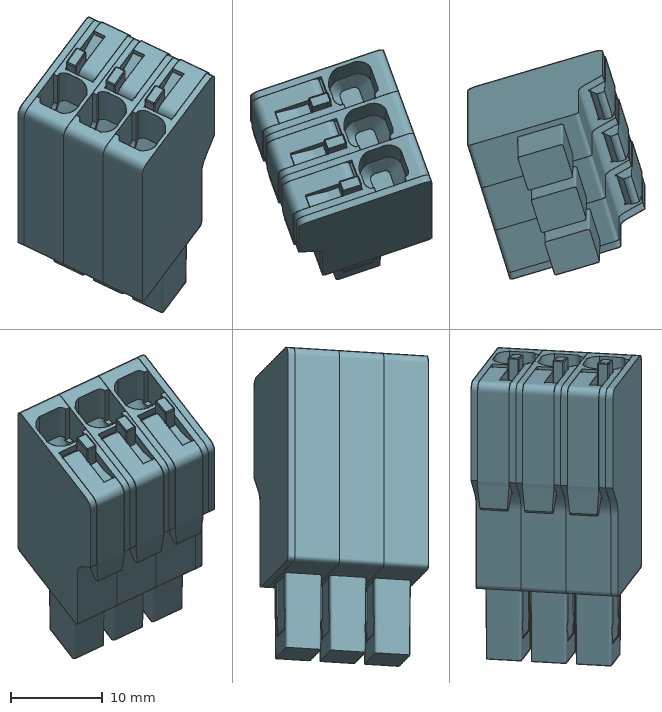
import cadquery as cq
import math


ARC_INSET = 1 - math.sqrt(0.5)

MODULE_COUNT = 3
MODULE_PITCH = 5.0
PLATE_THICKNESS = 0.8
BODY_HEIGHT = 24.15

BODY_DEPTH = 15.38
LOWER_DEPTH = 12.65
TOP_RADIUS = 1.0
BOTTOM_RADIUS = 0.5
SLOPE_TOP = 13.1
SLOPE_ANGLE = math.radians(45)
BLEND_RADIUS = 2.5

LATCH_OFFSET = 0.75
LATCH_WIDTH = 3.5
LATCH_FRONT = 7.49
LATCH_REAR = 15.5
LATCH_FLOOR = 11.4
LATCH_REAR_RADIUS = 0.95
LATCH_NOSE_RADIUS = 1.07
GROOVE_WIDTH = 0.25
GROOVE_RISE = 0.15

HOOK_ROOT_REAR = (15.45, 12.6)
HOOK_TIP_REAR = (15.3, 10.0)
HOOK_TIP = (14.8, 9.7)
HOOK_TIP_FRONT = (14.4, 9.85)
HOOK_THROAT = (14.05, 10.5)
HOOK_ROOT_FRONT = (13.7, LATCH_FLOOR)
HOOK_SIDE_TAPER = 0.25

SLOT_WIDTH = 1.43
SLOT_REAR = 13.55
RAMP_FOOT = 11.07
RAMP_TOP_DEPTH = 0.6
SLOT_DEPTH = 1.4

PUSHER_OFFSET = 0.08
PUSHER_WIDTH = 1.25
PUSHER_LENGTH = 2.25
PUSHER_RISE = 1.45
PUSHER_TOP_FALL = 0.2
PUSHER_CHAMFER = 0.12

MOUTH_DEPTH = 5.0
FUNNEL_DEPTH = 1.5
MOUTH_LEFT = 0.52
MOUTH_RIGHT = 4.58
MOUTH_FRONT = 2.06
MOUTH_REAR = 7.07
MOUTH_CORNERS = [(1.2, 0.5), (2.35, 1.55), (1.1, 1.95), (0.6, 0.7)]
THROAT_LEFT = 0.7
THROAT_RIGHT = 3.62
THROAT_FRONT = 3.47
THROAT_REAR = 5.7
THROAT_CORNER = 0.6

NOTCH_FRONT = 2.65
NOTCH_REAR = 6.2
NOTCH_SCOOP_FRONT = 3.45
NOTCH_DEPTH = 5.0
NOTCH_SCOOP_RADIUS = 1.6
NOTCH_FLOOR_RISE = 0.3

PLUG_OFFSET = 0.34
PLUG_WIDTH = 4.02
PLUG_FRONT = 5.43
PLUG_DEPTH = 5.25
PLUG_LENGTH = 8.4
PLUG_TAPER = 0.4
PLUG_CORNER = 0.25
WINDOW_DEPTH = 0.15
WINDOW_FRONT = 6.37
WINDOW_REAR = 9.78
WINDOW_BOTTOM = -6.1
LOBE_REACH = 0.36
LOBE_TOP = -3.9
LOBE_BOTTOM = -5.15
LOBE_CHAMFER = 0.3


def side_profile(left):
    """Sketch plane at X = left; its local axes are Y and Z."""
    return cq.Workplane("YZ", origin=(left, 0, 0))


def body_slab(left, thickness):
    """Slab with the outline that the end plate and the housings share."""
    blend_center_y = LOWER_DEPTH + BLEND_RADIUS
    slope_end_y = blend_center_y - BLEND_RADIUS * math.cos(SLOPE_ANGLE)
    slope_end_z = SLOPE_TOP - (BODY_DEPTH - slope_end_y) * math.tan(SLOPE_ANGLE)
    blend_bottom_z = slope_end_z - BLEND_RADIUS * math.sin(SLOPE_ANGLE)
    blend_middle = (
        blend_center_y - BLEND_RADIUS * math.cos(SLOPE_ANGLE / 2),
        blend_bottom_z + BLEND_RADIUS * math.sin(SLOPE_ANGLE / 2),
    )
    slab = (
        side_profile(left)
        .lineTo(LOWER_DEPTH, 0)
        .lineTo(LOWER_DEPTH, blend_bottom_z)
        .threePointArc(blend_middle, (slope_end_y, slope_end_z))
        .lineTo(BODY_DEPTH, SLOPE_TOP)
        .lineTo(BODY_DEPTH, BODY_HEIGHT)
        .lineTo(0, BODY_HEIGHT)
        .close()
        .extrude(thickness)
    )
    return slab.faces(">Z").edges("|X").fillet(TOP_RADIUS).faces("<Z").edges("|X").fillet(BOTTOM_RADIUS)


def funnel_outline(sketch, left, right, front, rear, corners):
    """Closed outline with rounded corners, each given as (size in X, size in Y).

    The corners come in the order rear left, rear right, front right, front left.
    """
    rear_left, rear_right, front_right, front_left = corners

    def corner_middle(corner_x, corner_y, size, side_x, side_y):
        """Midpoint of a corner arc; side_x and side_y are +1 or -1, pointing into the outline."""
        return (corner_x + side_x * ARC_INSET * size[0], corner_y + side_y * ARC_INSET * size[1])

    return (
        sketch.moveTo(left, front + front_left[1])
        .lineTo(left, rear - rear_left[1])
        .threePointArc(corner_middle(left, rear, rear_left, 1, -1), (left + rear_left[0], rear))
        .lineTo(right - rear_right[0], rear)
        .threePointArc(corner_middle(right, rear, rear_right, -1, -1), (right, rear - rear_right[1]))
        .lineTo(right, front + front_right[1])
        .threePointArc(corner_middle(right, front, front_right, -1, 1), (right - front_right[0], front))
        .lineTo(left + front_left[0], front)
        .threePointArc(corner_middle(left, front, front_left, 1, 1), (left, front + front_left[1]))
        .close()
    )


def mouth_outline(left, height):
    sketch = cq.Workplane("XY", origin=(left, 0, height))
    return funnel_outline(sketch, MOUTH_LEFT, MOUTH_RIGHT, MOUTH_FRONT, MOUTH_REAR, MOUTH_CORNERS)


def wire_entry(left):
    """Straight mouth above a funnel whose floor is the throat."""
    corners = [(THROAT_CORNER, THROAT_CORNER)] * 4
    funnel_top = BODY_HEIGHT - MOUTH_DEPTH
    mouth = mouth_outline(left, funnel_top).extrude(MOUTH_DEPTH)
    throat_sketch = mouth_outline(left, funnel_top).workplane(offset=-FUNNEL_DEPTH)
    throat = funnel_outline(throat_sketch, THROAT_LEFT, THROAT_RIGHT, THROAT_FRONT, THROAT_REAR, corners)
    return mouth.union(throat.loft(ruled=True))


def side_notch(left):
    floor = BODY_HEIGHT - NOTCH_DEPTH
    half_scoop = (NOTCH_REAR - NOTCH_SCOOP_FRONT) / 2
    sag = NOTCH_SCOOP_RADIUS - math.sqrt(NOTCH_SCOOP_RADIUS**2 - half_scoop**2)
    return (
        side_profile(left)
        .moveTo(NOTCH_FRONT, BODY_HEIGHT)
        .lineTo(NOTCH_FRONT, floor - NOTCH_FLOOR_RISE)
        .lineTo(NOTCH_SCOOP_FRONT, floor)
        .threePointArc((NOTCH_SCOOP_FRONT + half_scoop, floor - sag), (NOTCH_REAR, floor))
        .lineTo(NOTCH_REAR, BODY_HEIGHT)
        .close()
        .extrude((MOUTH_LEFT + MOUTH_RIGHT) / 2)
    )


def contact_window(left):
    """Shallow recess in the left side of the plug, with a lobe to the front and to the rear."""
    return (
        side_profile(left)
        .moveTo(WINDOW_FRONT, 0)
        .lineTo(WINDOW_FRONT, LOBE_TOP)
        .lineTo(WINDOW_FRONT - LOBE_REACH, LOBE_TOP - LOBE_CHAMFER)
        .lineTo(WINDOW_FRONT - LOBE_REACH, LOBE_BOTTOM + LOBE_CHAMFER)
        .lineTo(WINDOW_FRONT, LOBE_BOTTOM)
        .lineTo(WINDOW_FRONT, WINDOW_BOTTOM)
        .lineTo(WINDOW_REAR, WINDOW_BOTTOM)
        .lineTo(WINDOW_REAR, LOBE_BOTTOM)
        .lineTo(WINDOW_REAR + LOBE_REACH, LOBE_BOTTOM + LOBE_CHAMFER)
        .lineTo(WINDOW_REAR + LOBE_REACH, LOBE_TOP - LOBE_CHAMFER)
        .lineTo(WINDOW_REAR, LOBE_TOP)
        .lineTo(WINDOW_REAR, 0)
        .close()
        .extrude(WINDOW_DEPTH)
    )


def plug(left):
    """Tapered post under the housing."""
    plug_left = left + PLUG_OFFSET
    post = (
        cq.Workplane("XY")
        .center(plug_left + PLUG_WIDTH / 2, PLUG_FRONT + PLUG_DEPTH / 2)
        .rect(PLUG_WIDTH, PLUG_DEPTH)
        .extrude(-PLUG_LENGTH, taper=PLUG_TAPER)
        .edges("not #Z")
        .fillet(PLUG_CORNER)
    )
    return post.cut(contact_window(plug_left))


def latch_pocket(left):
    """Pocket in the housing that the latch fills, open at the top and the rear."""
    size = (LATCH_WIDTH, LATCH_REAR - LATCH_FRONT, BODY_HEIGHT - LATCH_FLOOR)
    corner = (left + LATCH_OFFSET, LATCH_FRONT, LATCH_FLOOR)
    return cq.Workplane("XY").box(*size, centered=False).translate(corner)


def make_housing(left):
    housing = body_slab(left, MODULE_PITCH).cut(latch_pocket(left))
    housing = housing.cut(side_notch(left)).cut(wire_entry(left))
    return housing.union(plug(left))


def make_latch(left):
    nose_foot_y = LATCH_FRONT + GROOVE_WIDTH
    nose_foot_z = BODY_HEIGHT - LATCH_NOSE_RADIUS
    nose_inset = LATCH_NOSE_RADIUS * ARC_INSET
    block = (
        side_profile(left + LATCH_OFFSET)
        .moveTo(LATCH_FRONT, LATCH_FLOOR)
        .lineTo(LATCH_FRONT, nose_foot_z + GROOVE_RISE)
        .lineTo(nose_foot_y, nose_foot_z)
        .threePointArc(
            (nose_foot_y + nose_inset, BODY_HEIGHT - nose_inset),
            (nose_foot_y + LATCH_NOSE_RADIUS, BODY_HEIGHT),
        )
        .lineTo(LATCH_REAR - LATCH_REAR_RADIUS, BODY_HEIGHT)
        .tangentArcPoint((LATCH_REAR_RADIUS, -LATCH_REAR_RADIUS))
        .lineTo(LATCH_REAR, SLOPE_TOP)
        .lineTo(*HOOK_ROOT_REAR)
        .lineTo(*HOOK_TIP_REAR)
        .threePointArc(HOOK_TIP, HOOK_TIP_FRONT)
        .lineTo(*HOOK_THROAT)
        .lineTo(*HOOK_ROOT_FRONT)
        .close()
        .extrude(LATCH_WIDTH)
    )
    latch_left = left + LATCH_OFFSET
    latch_right = latch_left + LATCH_WIDTH
    root_z = HOOK_ROOT_REAR[1]
    tip_z = HOOK_TIP[1]
    tapered_face = (
        cq.Workplane("XZ")
        .moveTo(latch_left, BODY_HEIGHT)
        .lineTo(latch_left, root_z)
        .lineTo(latch_left + HOOK_SIDE_TAPER, tip_z)
        .lineTo(latch_right - HOOK_SIDE_TAPER, tip_z)
        .lineTo(latch_right, root_z)
        .lineTo(latch_right, BODY_HEIGHT)
        .close()
        .extrude(-LATCH_REAR)
    )
    slot = (
        side_profile(latch_left)
        .moveTo(LATCH_FRONT, BODY_HEIGHT)
        .lineTo(LATCH_FRONT, BODY_HEIGHT - SLOT_DEPTH)
        .lineTo(RAMP_FOOT, BODY_HEIGHT - SLOT_DEPTH)
        .lineTo(SLOT_REAR, BODY_HEIGHT - RAMP_TOP_DEPTH)
        .lineTo(SLOT_REAR, BODY_HEIGHT)
        .close()
        .extrude(SLOT_WIDTH)
    )
    return block.intersect(tapered_face).cut(slot)


def make_pusher(left):
    """Tab that stands on the slot floor; its top falls toward the front."""
    floor = BODY_HEIGHT - SLOT_DEPTH
    top = BODY_HEIGHT + PUSHER_RISE
    rear = LATCH_FRONT + PUSHER_LENGTH
    tab = (
        side_profile(left + LATCH_OFFSET + PUSHER_OFFSET)
        .moveTo(LATCH_FRONT, floor)
        .lineTo(LATCH_FRONT, top - PUSHER_TOP_FALL)
        .lineTo(rear, top)
        .lineTo(rear, floor)
        .close()
        .extrude(PUSHER_WIDTH)
    )
    return tab.edges("not <Z").chamfer(PUSHER_CHAMFER)


end_plate = body_slab(0, PLATE_THICKNESS)
bodies = [end_plate.solids().val()]
for index in range(MODULE_COUNT):
    module_left = PLATE_THICKNESS + index * MODULE_PITCH
    bodies.append(make_housing(module_left).solids().val())
    bodies.append(make_latch(module_left).solids().val())
    bodies.append(make_pusher(module_left).solids().val())

result = cq.Compound.makeCompound(bodies)